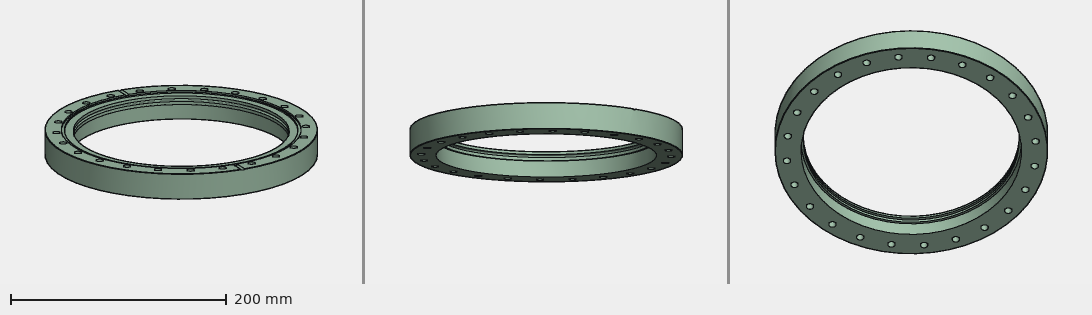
import cadquery as cq
import math

outer_radius = 253 / 2
height = 25.0
rim_chamfer = 0.5

recess_radius = 222.5 / 2
knife_tip_radius = 216.8 / 2
knife_inner_radius = 216.0 / 2
inner_face_depth = 1.5
knife_tip_depth = 0.5
knife_slope = math.radians(20)
recess_depth = knife_tip_depth + (recess_radius - knife_tip_radius) * math.tan(knife_slope)

bore_radius = 200.5 / 2
socket_radius = 204.5 / 2
relief_top_depth = 4.3
relief_width = 2.8
relief_radial_depth = 5.3
weld_lip_height = 3.0
socket_top_depth = relief_top_depth + relief_width + weld_lip_height

bolt_count = 24
bolt_circle_radius = 231.7 / 2
bolt_hole_diameter = 6.8

leak_groove_width = 3.8
leak_groove_depth = 1.0


def make_ring():
    """Revolve the flange section, listed as (radius, height), about the Z axis."""
    relief_top = height - relief_top_depth
    relief_bottom = relief_top - relief_width
    relief_end_radius = bore_radius + relief_radial_depth
    relief_arc_start = relief_end_radius - relief_width / 2
    inner_face = height - inner_face_depth
    socket_top = height - socket_top_depth
    section = (
        cq.Workplane("XZ")
        .moveTo(socket_radius, 0)
        .lineTo(outer_radius - rim_chamfer, 0)
        .lineTo(outer_radius, rim_chamfer)
        .lineTo(outer_radius, height - rim_chamfer)
        .lineTo(outer_radius - rim_chamfer, height)
        .lineTo(recess_radius, height)
        .lineTo(recess_radius, height - recess_depth)
        .lineTo(knife_tip_radius, height - knife_tip_depth)
        .lineTo(knife_inner_radius, inner_face)
        .lineTo(bore_radius, inner_face)
        .lineTo(bore_radius, relief_top)
        .lineTo(relief_arc_start, relief_top)
        .threePointArc(
            (relief_end_radius, relief_top - relief_width / 2),
            (relief_arc_start, relief_bottom),
        )
        .lineTo(bore_radius, relief_bottom)
        .lineTo(bore_radius, socket_top)
        .lineTo(socket_radius, socket_top)
        .close()
    )
    return section.revolve(360, (0, 0, 0), (0, 1, 0))


def make_bolt_holes():
    half_pitch_angle = 180 / bolt_count
    return (
        cq.Workplane("XY")
        .polarArray(bolt_circle_radius, half_pitch_angle, 360, bolt_count)
        .circle(bolt_hole_diameter / 2)
        .extrude(height)
    )


def make_leak_grooves():
    """Two opposite cylinders that cut shallow arcs from the recess to the rim."""
    half_width = leak_groove_width / 2
    cutter_radius = (half_width**2 + leak_groove_depth**2) / (2 * leak_groove_depth)
    cutter_height = height - leak_groove_depth + cutter_radius
    start_radius = (recess_radius + knife_tip_radius) / 2
    cutter = (
        cq.Workplane("YZ", origin=(start_radius, 0, 0))
        .center(0, cutter_height)
        .circle(cutter_radius)
        .extrude(outer_radius - start_radius)
    )
    return cutter.union(cutter.mirror("YZ"))


result = make_ring().cut(make_bolt_holes()).cut(make_leak_grooves())